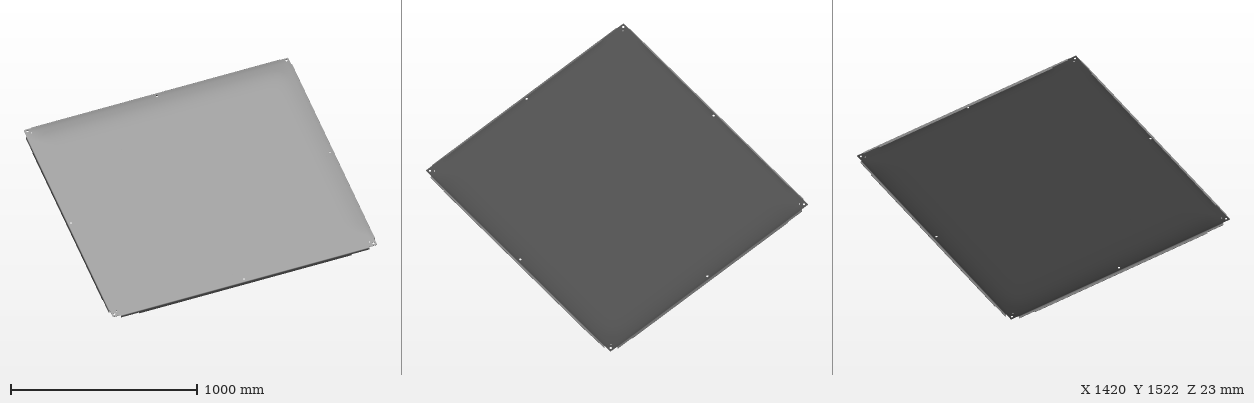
import cadquery as cq

length_x = 1420.0
length_y = 1522.0
height = 23.0

sheet = 2.5
bend_outer_radius = 5.5
bend_inner_radius = bend_outer_radius - sheet

shallow_depth = 15.0
short_flange_end_gap = 53.0
long_flange_end_gap = 52.0
deep_end_gap = 155.0

fixing_diameter = 12.6
pilot_diameter = 7.2
fixing_inset = 21.0
pilot_inset = 38.0


def flange_along_x(run, outer_y, depth):
    """Strip of bent sheet along X, its outer face at +outer_y and its top at Z = height."""
    bend_y = outer_y - bend_outer_radius
    bend_z = height - bend_outer_radius
    bottom_z = height - depth
    profile = (
        cq.Workplane("YZ")
        .moveTo(bend_y, height)
        .radiusArc((outer_y, bend_z), bend_outer_radius)
        .lineTo(outer_y, bottom_z)
        .lineTo(outer_y - sheet, bottom_z)
        .lineTo(outer_y - sheet, bend_z)
        .radiusArc((bend_y, height - sheet), -bend_inner_radius)
        .close()
    )
    return profile.extrude(run / 2, both=True)


def stepped_flange(side_length, outer_y, end_gap):
    """Complete flange for one side of the panel."""
    shallow = flange_along_x(side_length - 2 * end_gap, outer_y, shallow_depth)
    deep = flange_along_x(side_length - 2 * deep_end_gap, outer_y, height)
    return shallow.union(deep)


def corner_points(inset):
    """Four points at the same inset from the outer faces."""
    x = length_x / 2 - inset
    y = length_y / 2 - inset
    return [(x, y), (-x, y), (-x, -y), (x, -y)]


panel = (
    cq.Workplane("XY")
    .workplane(offset=height - sheet)
    .rect(length_x - 2 * bend_outer_radius, length_y - 2 * bend_outer_radius)
    .extrude(sheet)
)

for turn in (0, 180):
    long_flange = stepped_flange(length_y, length_x / 2, long_flange_end_gap)
    short_flange = stepped_flange(length_x, length_y / 2, short_flange_end_gap)
    panel = panel.union(short_flange.rotate((0, 0, 0), (0, 0, 1), turn))
    panel = panel.union(long_flange.rotate((0, 0, 0), (0, 0, 1), turn + 90))

middle_x = length_x / 2 - fixing_inset
middle_y = length_y / 2 - fixing_inset
middle_points = [(middle_x, 0), (-middle_x, 0), (0, middle_y), (0, -middle_y)]
fixing_holes = (
    cq.Workplane("XY")
    .pushPoints(corner_points(fixing_inset) + middle_points)
    .circle(fixing_diameter / 2)
    .extrude(height)
)

pilot_holes = (
    cq.Workplane("XY")
    .pushPoints(corner_points(pilot_inset))
    .circle(pilot_diameter / 2)
    .extrude(height)
)

result = panel.cut(fixing_holes).cut(pilot_holes)